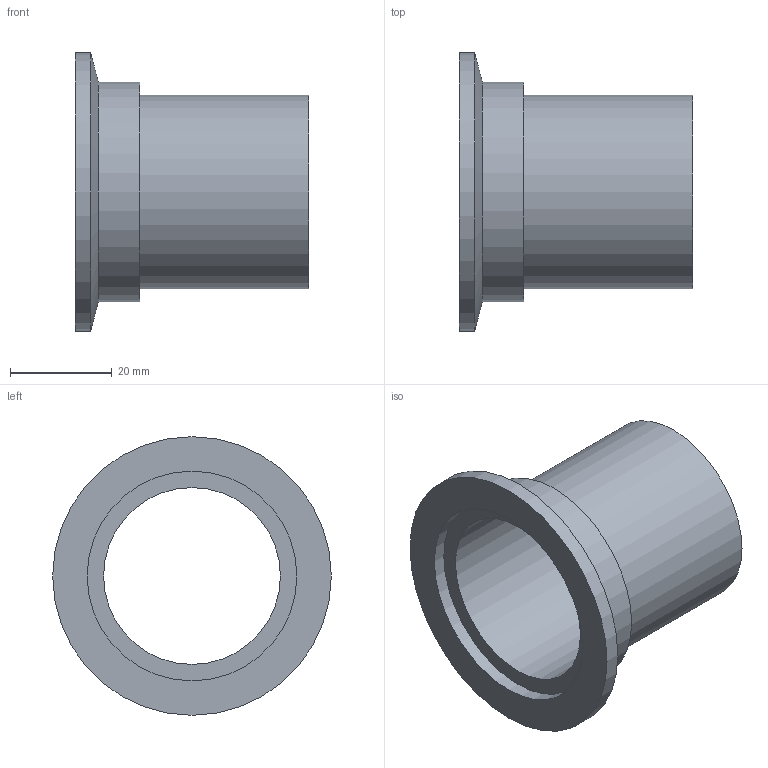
import cadquery as cq


total_length = 45.97
rim_end = 3.0
taper_end = 4.56
collar_end = 12.7
recess_depth = 2.62

flange_diameter = 54.86
collar_diameter = 43.18
tube_diameter = 38.1
tube_wall = 1.65
bore_diameter = tube_diameter - 2 * tube_wall
recess_diameter = 41.28


def make_cylinder(diameter, start, end):
    """Solid cylinder on the X axis between two X positions."""
    return cq.Workplane("YZ", origin=(start, 0, 0)).circle(diameter / 2).extrude(end - start)


def make_outer_body():
    """Solid of revolution: rim, clamp taper, collar and tube."""
    profile = (
        cq.Workplane("XZ")
        .moveTo(0, 0)
        .lineTo(0, flange_diameter / 2)
        .lineTo(rim_end, flange_diameter / 2)
        .lineTo(taper_end, collar_diameter / 2)
        .lineTo(collar_end, collar_diameter / 2)
        .lineTo(collar_end, tube_diameter / 2)
        .lineTo(total_length, tube_diameter / 2)
        .lineTo(total_length, 0)
        .close()
    )
    return profile.revolve(360, (0, 0, 0), (1, 0, 0))


bore = make_cylinder(bore_diameter, 0, total_length)
centering_recess = make_cylinder(recess_diameter, 0, recess_depth)

result = make_outer_body().cut(bore).cut(centering_recess)